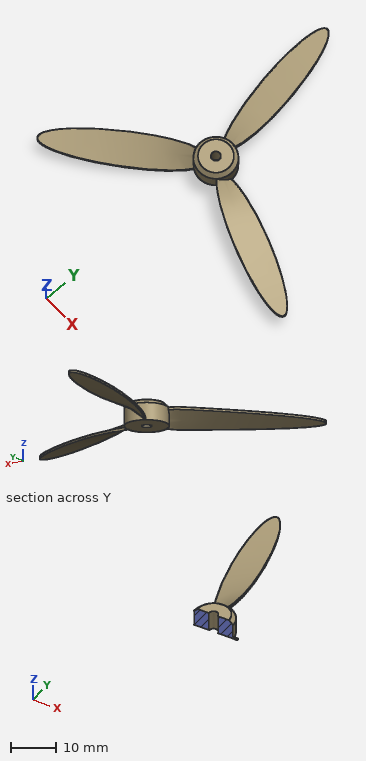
import cadquery as cq
import math

hub_diameter = 10.0
hub_height = 5.0
hub_chamfer = 1.0
bore_diameter = 2.2
shoulder_height = hub_height - hub_chamfer

blade_count = 3
first_blade_angle = 99.0
blade_length = 40.0
blade_width = 8.0
blade_thickness = 0.55
pitch_radius = 4.45
blade_mid_height = shoulder_height / 2

root_radius = 4.1
slab_end_radius = blade_length + 0.7
twist_stations = 14
slab_width = blade_width + 1.4
outline_steps = 24


def pitch_angle(radius):
    """Pitch in radians of a constant-pitch helix at this radius."""
    return math.atan2(pitch_radius, radius)


def outline_point(turn):
    """Point of the blade's plan outline: an ellipse from hub axis to tip, foreshortened by the pitch."""
    radius = blade_length / 2 * (1 - math.cos(turn))
    half_chord = blade_width / 2 * math.sin(turn)
    return (radius, half_chord * math.cos(pitch_angle(radius)))


def twisted_slab():
    """Thin slab along +X whose pitch flattens toward the tip."""
    step = (slab_end_radius - root_radius) / (twist_stations - 1)
    sections = []
    for station in range(twist_stations):
        radius = root_radius + station * step
        pitch = pitch_angle(radius)
        chord_direction = (0, math.cos(pitch), -math.sin(pitch))
        plane = cq.Plane((radius, 0, blade_mid_height), chord_direction, (1, 0, 0))
        section = cq.Workplane(plane).rect(slab_width, blade_thickness)
        sections.append(section.wires().val())
    return cq.Workplane(cq.Solid.makeLoft(sections))


def make_blade():
    """Twisted slab trimmed to the blade outline and to the straight part of the hub."""
    turns = [math.pi * i / outline_steps for i in range(outline_steps + 1)]
    upper_edge = [outline_point(turn) for turn in turns]
    lower_edge = [(x, -y) for x, y in reversed(upper_edge)]
    outline = (
        cq.Workplane("XY")
        .spline(upper_edge + lower_edge[1:-1], periodic=True, makeWire=True)
        .extrude(shoulder_height)
    )
    return twisted_slab().intersect(outline)


def make_hub():
    return (
        cq.Workplane("XY")
        .circle(hub_diameter / 2)
        .extrude(hub_height)
        .faces(">Z")
        .chamfer(hub_chamfer)
    )


result = make_hub()
blade = make_blade()
for index in range(blade_count):
    angle = first_blade_angle + index * 360 / blade_count
    result = result.union(blade.rotate((0, 0, 0), (0, 0, 1), angle))

bore = cq.Workplane("XY").circle(bore_diameter / 2).extrude(hub_height)
result = result.cut(bore)